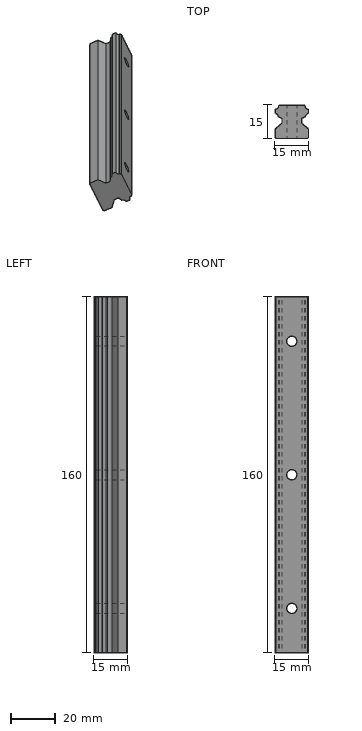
import cadquery as cq

length = 160.0
width = 15.0
height = 15.0
half_width = width / 2
top = height / 2
base = -height / 2

edge_chamfer = 0.5
head_half_width = 6.0
neck_half_width = 4.5
upper_groove_start = top - 1.0
upper_groove_end = top - 2.0
rib_bottom = top - 3.5
lower_groove_end = top - 5.3
neck_top = top - 6.0
neck_bottom = top - 8.2
foot_top = top - 10.7
groove_sag = 0.24
rib_chamfer = 0.3

hole_diameter = 4.5
hole_pitch = 60.0
hole_offsets = (-hole_pitch, 0, hole_pitch)


def half_profile():
    """Right half of the cross-section, closed along the symmetry plane."""
    return (
        cq.Workplane("XY")
        .moveTo(0, base)
        .lineTo(half_width - edge_chamfer, base)
        .lineTo(half_width, base + edge_chamfer)
        .lineTo(half_width, foot_top)
        .lineTo(neck_half_width, neck_bottom)
        .lineTo(neck_half_width, neck_top)
        .lineTo(head_half_width, lower_groove_end)
        .sagittaArc((half_width - rib_chamfer, rib_bottom - rib_chamfer), groove_sag)
        .lineTo(half_width, rib_bottom)
        .lineTo(half_width, upper_groove_end)
        .sagittaArc((head_half_width, upper_groove_start), groove_sag)
        .lineTo(head_half_width, top - edge_chamfer)
        .lineTo(head_half_width - edge_chamfer, top)
        .lineTo(0, top)
        .close()
    )


def mounting_holes():
    """Straight holes through the full height of the rail."""
    return (
        cq.Workplane("XZ")
        .pushPoints([(0, offset) for offset in hole_offsets])
        .circle(hole_diameter / 2)
        .extrude(height / 2, both=True)
    )


right_half = half_profile().extrude(length / 2, both=True)
rail = right_half.union(right_half.mirror("YZ")).clean()
result = rail.cut(mounting_holes())